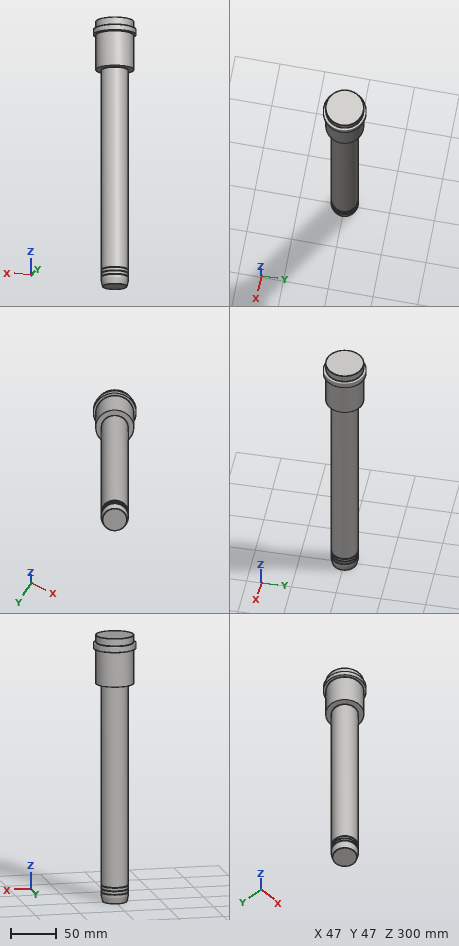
import cadquery as cq

total_length = 300.0
shaft_radius = 15.0
head_radius = 21.0
flange_diameter = 47.0

head_length = 54.5
flange_top_depth = 9.0
flange_thickness = 6.0
flange_edge_fillet = 0.45
top_edge_chamfer = 0.45

relief_width = 1.0
relief_depth = 0.3

tip_length = 7.0
tip_radius = 13.5
tip_bulge = 0.15
tip_edge_chamfer = 0.45

groove_count = 3
first_groove_height = 10.8
groove_pitch = 4.0
groove_radius = 0.5

flange_radius = flange_diameter / 2
head_bottom = total_length - head_length
flange_top = total_length - flange_top_depth
flange_bottom = flange_top - flange_thickness


def cylinder(radius, bottom, top):
    """Solid cylinder on the Z axis between two heights."""
    return cq.Workplane("XY").workplane(offset=bottom).circle(radius).extrude(top - bottom)


def make_shaft():
    """Shaft whose lower end tapers along a shallow arc to a chamfered tip."""
    arc_middle = ((shaft_radius + tip_radius) / 2 + tip_bulge, (tip_length + tip_edge_chamfer) / 2)
    return (
        cq.Workplane("XZ")
        .moveTo(0, head_bottom)
        .lineTo(shaft_radius, head_bottom)
        .lineTo(shaft_radius, tip_length)
        .threePointArc(arc_middle, (tip_radius, tip_edge_chamfer))
        .lineTo(tip_radius - tip_edge_chamfer, 0)
        .lineTo(0, 0)
        .close()
        .revolve(360, (0, 0, 0), (0, 1, 0))
    )


def make_head():
    """Head cylinder with chamfered top edge and a flange that is rounded on its upper edge."""
    flange = cylinder(flange_radius, flange_bottom, flange_top)
    flange = flange.faces(">Z").edges().fillet(flange_edge_fillet)
    body = cylinder(head_radius, head_bottom, total_length)
    body = body.faces(">Z").edges().chamfer(top_edge_chamfer)
    return body.union(flange)


def make_ring_groove(height):
    """Torus that cuts a half-round groove into the shaft surface."""
    return (
        cq.Workplane("XZ")
        .center(shaft_radius, height)
        .circle(groove_radius)
        .revolve(360, (-shaft_radius, 0, 0), (-shaft_radius, 1, 0))
    )


def make_relief(radius, bottom):
    """Square-cornered ring that cuts a relief groove into a cylinder of the given radius."""
    top = bottom + relief_width
    return cylinder(radius + relief_depth, bottom, top).cut(cylinder(radius - relief_depth, bottom, top))


result = make_shaft().union(make_head())

for index in range(groove_count):
    result = result.cut(make_ring_groove(first_groove_height + index * groove_pitch))

for radius, bottom in (
    (head_radius, flange_top),
    (head_radius, flange_bottom - relief_width),
    (shaft_radius, head_bottom - relief_width),
):
    result = result.cut(make_relief(radius, bottom))